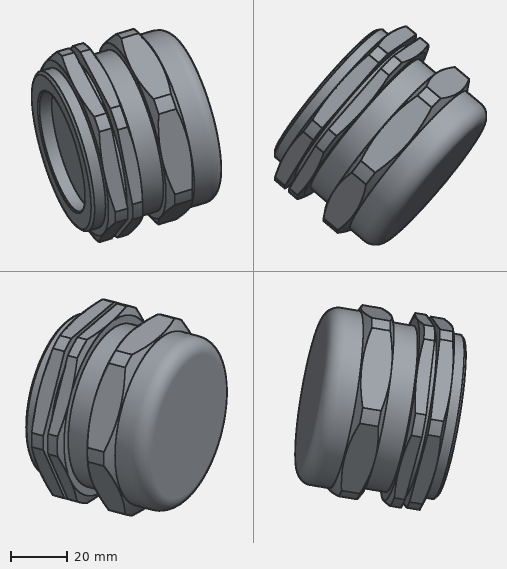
import cadquery as cq
import math

total_length = 50.2
lock_nut_front = 5.1
lock_nut_back = 11.1
flange_front = 12.95
flange_back = 17.9
cap_nut_front = 27.1
cap_nut_back = 38.1

thread_diameter = 59.3
front_face_diameter = 57.2
front_chamfer_length = 0.9
gasket_diameter = 62.1
body_diameter = 60.0
dome_diameter = 64.0
dome_edge_radius = 5.4

corner_diameter = 72.0
nut_across_flats = 65.0
flange_across_flats = 66.0
cap_nut_bevel_angle = 30.0
thin_hex_bevel_angle = 20.0

bore_diameter = 44.5
bore_depth = 5.2
bore_mouth_chamfer = 0.5


def section_plane(y):
    """Plane across the gland axis, with its normal along +Y."""
    return cq.Plane(origin=(0, y, 0), xDir=(1, 0, 0), normal=(0, 1, 0))


def cylinder(diameter, start, end):
    return cq.Workplane(section_plane(start)).circle(diameter / 2).extrude(end - start)


def bevelled_hexagon(across_flats, start, end, bevel_angle, front_diameter=None, back_diameter=None):
    """Hexagon with turned corners; an end given a face diameter is bevelled down to it."""
    across_corners = across_flats / math.cos(math.pi / 6)
    hexagon = cq.Workplane(section_plane(start)).polygon(6, across_corners).extrude(end - start)

    corner_radius = corner_diameter / 2
    slope = math.tan(math.radians(bevel_angle))
    front_radius = (front_diameter or corner_diameter) / 2
    back_radius = (back_diameter or corner_diameter) / 2
    profile = cq.Workplane("XY").moveTo(0, start).lineTo(front_radius, start)
    if front_diameter:
        profile = profile.lineTo(corner_radius, start + (corner_radius - front_radius) * slope)
    if back_diameter:
        profile = profile.lineTo(corner_radius, end - (corner_radius - back_radius) * slope)
        profile = profile.lineTo(back_radius, end)
    else:
        profile = profile.lineTo(corner_radius, end)
    envelope = profile.lineTo(0, end).close().revolve(360, (0, 0, 0), (0, 1, 0))
    return hexagon.intersect(envelope)


def threaded_end():
    """Front cylinder with a turned lead-in chamfer."""
    radius = thread_diameter / 2
    return (
        cq.Workplane("XY")
        .lineTo(front_face_diameter / 2, 0)
        .lineTo(radius, front_chamfer_length)
        .lineTo(radius, flange_front)
        .lineTo(0, flange_front)
        .close()
        .revolve(360, (0, 0, 0), (0, 1, 0))
    )


def gasket():
    """Sealing ring with a fully rounded rim between the lock nut and the flange."""
    outer_radius = gasket_diameter / 2
    rim_radius = (flange_front - lock_nut_back) / 2
    return (
        cq.Workplane("XY")
        .moveTo(0, lock_nut_back)
        .lineTo(outer_radius - rim_radius, lock_nut_back)
        .threePointArc(
            (outer_radius, lock_nut_back + rim_radius),
            (outer_radius - rim_radius, flange_front),
        )
        .lineTo(0, flange_front)
        .close()
        .revolve(360, (0, 0, 0), (0, 1, 0))
    )


def bore():
    """Blind bore with a small chamfer at its mouth."""
    radius = bore_diameter / 2
    return (
        cq.Workplane("XY")
        .lineTo(radius + bore_mouth_chamfer, 0)
        .lineTo(radius, bore_mouth_chamfer)
        .lineTo(radius, bore_depth)
        .lineTo(0, bore_depth)
        .close()
        .revolve(360, (0, 0, 0), (0, 1, 0))
    )


lock_nut = bevelled_hexagon(
    nut_across_flats, lock_nut_front, lock_nut_back, thin_hex_bevel_angle,
    front_diameter=nut_across_flats,
)
flange = bevelled_hexagon(
    flange_across_flats, flange_front, flange_back, thin_hex_bevel_angle,
    back_diameter=flange_across_flats,
)
body = cylinder(body_diameter, flange_back, cap_nut_front)
cap_nut = bevelled_hexagon(
    nut_across_flats, cap_nut_front, cap_nut_back, cap_nut_bevel_angle,
    front_diameter=nut_across_flats, back_diameter=dome_diameter,
)
dome = cylinder(dome_diameter, cap_nut_back, total_length).faces(">Y").edges().fillet(dome_edge_radius)

gland = threaded_end()
for section in (lock_nut, gasket(), flange, body, cap_nut, dome):
    gland = gland.union(section)

result = gland.cut(bore()).translate((0, -total_length / 2, 0))